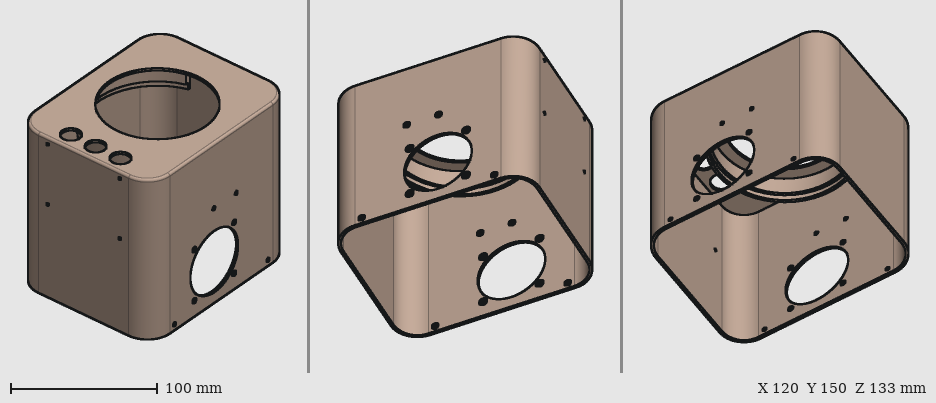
import cadquery as cq

WIDTH = 120.0
DEPTH = 150.0
HEIGHT = 133.0
WALL = 2.0
CORNER_RADIUS = 20.0
TOP_EDGE_RADIUS = 2.0

OPENING_DIAMETER = 85.0
OPENING_Y = 4.0
RING_OUTER_RADIUS = 55.0
RING_UPPER_RADIUS = 51.0
RING_LOWER_RADIUS = 53.0
RING_BOTTOM_Z = 111.0
RING_STEP_Z = 116.0
RING_GAP_WIDTH = 30.0

BUTTON_DIAMETER = 15.0
BUTTON_PITCH = 22.0
BUTTON_Y = -62.0

SIDE_OPENING_DIAMETER = 51.0
SIDE_OPENING_Y = -7.5
SIDE_OPENING_Z = 34.5
SIDE_SCREW_SPACING = 42.5
SIDE_SCREW_DIAMETER = 4.0
SIDE_SCREW_HEAD_DIAMETER = 6.0

SMALL_SCREW_DIAMETER = 3.0
SMALL_SCREW_HEAD_DIAMETER = 5.0
UPPER_SCREW_Y = (16.0, -8.0)
UPPER_SCREW_Z = 79.0
BASE_SCREW_Y = (50.0, -50.0)
BASE_SCREW_Z = 5.0

PILOT_DIAMETER = 2.0
PILOT_SPACING_X = 64.0
PILOT_SPACING_Z = 50.0
PILOT_CENTRE_Z = 102.25


def make_shell():
    outer = (
        cq.Workplane("XY")
        .rect(WIDTH, DEPTH)
        .extrude(HEIGHT)
        .edges("|Z")
        .fillet(CORNER_RADIUS)
        .faces(">Z")
        .edges()
        .fillet(TOP_EDGE_RADIUS)
    )
    cavity = (
        cq.Workplane("XY")
        .rect(WIDTH - 2 * WALL, DEPTH - 2 * WALL)
        .extrude(HEIGHT - WALL)
        .edges("|Z")
        .fillet(CORNER_RADIUS - WALL)
    )
    return outer.cut(cavity)


def make_seat_ring():
    """Ring under the top, wider inside at its lower end and open at the back."""
    ring_height = HEIGHT - WALL - RING_BOTTOM_Z

    def base_plane():
        return cq.Workplane("XY", origin=(0, OPENING_Y, RING_BOTTOM_Z))

    ring = base_plane().circle(RING_OUTER_RADIUS).circle(RING_UPPER_RADIUS).extrude(ring_height)
    lower_recess = base_plane().circle(RING_LOWER_RADIUS).extrude(RING_STEP_Z - RING_BOTTOM_Z)
    back_gap = base_plane().box(
        RING_GAP_WIDTH, RING_OUTER_RADIUS, ring_height, centered=(True, False, False)
    )
    return ring.cut(lower_recess).cut(back_gap)


def cut_top_openings(body):
    underside = cq.Workplane("XY", origin=(0, 0, HEIGHT - WALL))
    button_centres = [(i * BUTTON_PITCH, BUTTON_Y) for i in (-1, 0, 1)]
    body = body.cut(underside.pushPoints(button_centres).circle(BUTTON_DIAMETER / 2).extrude(WALL))
    return body.cut(underside.moveTo(0, OPENING_Y).circle(OPENING_DIAMETER / 2).extrude(WALL))


def cut_side_screws(body, centres, hole_diameter, head_diameter):
    """Drill through both side walls at (y, z) centres, countersunk from -X in each wall."""
    drills = (
        cq.Workplane("YZ", origin=(-WIDTH / 2, 0, 0))
        .pushPoints(centres)
        .circle(hole_diameter / 2)
        .extrude(WIDTH)
    )
    body = body.cut(drills)
    sink_depth = (head_diameter - hole_diameter) / 2
    for face_x in (-WIDTH / 2, WIDTH / 2 - WALL):
        for y, z in centres:
            head_centre = cq.Vector(face_x, y, z)
            sink = cq.Solid.makeCone(
                head_diameter / 2, hole_diameter / 2, sink_depth, head_centre, cq.Vector(1, 0, 0)
            )
            body = body.cut(cq.Workplane(sink))
    return body


def cut_side_openings(body):
    side = cq.Workplane("YZ", origin=(-WIDTH / 2, 0, 0))
    opening = side.center(SIDE_OPENING_Y, SIDE_OPENING_Z).circle(SIDE_OPENING_DIAMETER / 2).extrude(WIDTH)
    body = body.cut(opening)
    half_spacing = SIDE_SCREW_SPACING / 2
    opening_screws = [
        (SIDE_OPENING_Y + dy, SIDE_OPENING_Z + dz)
        for dy in (-half_spacing, half_spacing)
        for dz in (-half_spacing, half_spacing)
    ]
    body = cut_side_screws(body, opening_screws, SIDE_SCREW_DIAMETER, SIDE_SCREW_HEAD_DIAMETER)
    small_screws = [(y, UPPER_SCREW_Z) for y in UPPER_SCREW_Y]
    small_screws += [(y, BASE_SCREW_Z) for y in BASE_SCREW_Y]
    return cut_side_screws(body, small_screws, SMALL_SCREW_DIAMETER, SMALL_SCREW_HEAD_DIAMETER)


def cut_front_pilots(body):
    pilots = (
        cq.Workplane("XZ", origin=(0, -DEPTH / 2, PILOT_CENTRE_Z))
        .rarray(PILOT_SPACING_X, PILOT_SPACING_Z, 2, 2)
        .circle(PILOT_DIAMETER / 2)
        .extrude(-WALL)
    )
    return body.cut(pilots)


result = make_shell().union(make_seat_ring())
result = cut_top_openings(result)
result = cut_side_openings(result)
result = cut_front_pilots(result)